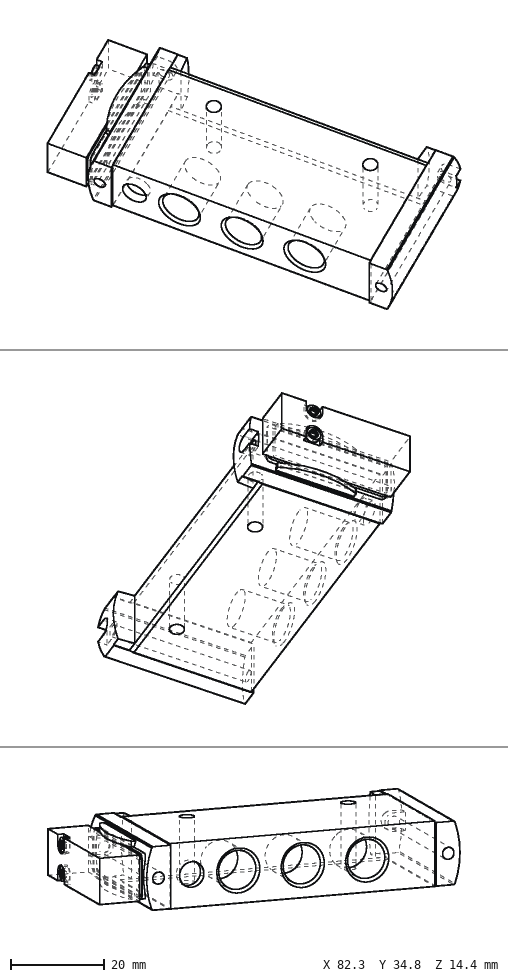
import cadquery as cq

total_length = 82.25
cap_width = 34.8

cap_thickness = 5.5
cap_height = 14.0
cap_crown = 1.4
cap_side_crown = 1.15
cap_bevel = 0.25
cap_hole_dia = 2.6
cap_hole_inset = 2.7
screw_seat_width = 4.1
screw_seat_depth = 2.2
left_cap_x = 10.3

lug_reach_tip = 2.05
lug_reach_root = 2.55
lug_height = 13.65

body_height = 14.4
body_front_y = 0.65
body_back_y = 29.85
body_x0 = left_cap_x + cap_thickness
body_x1 = total_length - cap_thickness
back_bevel_width = 1.0
back_bevel_drop = 0.3

port_dia = 8.55
port_mouth_dia = 9.9
port_mouth_depth = 0.65
port_depth = 11.5
port_pitch = 14.8
middle_port_x = 46.4
pilot_port_x = 20.9
pilot_dia = 5.6
pilot_depth = 2.05
pilot_tip_depth = 1.65

mount_dia = 3.2
mount_pitch = 37.0
mount_middle_x = 47.3
mount_y = 24.0

block_length = 9.2
block_y0 = 1.4
block_y1 = 32.2
block_height = 10.2
inner_neck_x = 9.95
neck_y0 = 2.1
neck_y1 = 29.3
neck_height = 8.7
neck_round = 0.8
collar_y0 = 1.8
collar_y1 = 30.6
collar_height = 10.0
collar_round = 1.2

lip_y0 = 9.1
lip_y1 = 28.0
lip_tip_x = 8.3
lip_end_x = 10.3
lip_height = 12.75

screw_y = 24.35
screw_z = 3.2
recess_dia = 3.9
recess_depth = 1.3
screw_head_dia = 3.2
screw_head_height = 1.1
socket_size = 1.3
socket_mouth_dia = 2.0
socket_mouth_depth = 0.25
socket_depth = 0.65

overlap = 0.8


def box(x0, x1, y0, y1, height):
    """Box between the given X and Y limits, centred on Z = 0."""
    return cq.Workplane("XY").box(x1 - x0, y1 - y0, height).translate(((x0 + x1) / 2, (y0 + y1) / 2, 0))


def cylinder_y(x, y, dia, length):
    """Cylinder that starts at y and runs towards +Y on the mid-plane."""
    return cq.Workplane("XZ", origin=(x, y, 0)).circle(dia / 2).extrude(-length)


def cone_y(x, y, dia, end_dia, length):
    """Cone or frustum that starts at y and narrows towards +Y."""
    solid = cq.Solid.makeCone(dia / 2, end_dia / 2, length, cq.Vector(x, y, 0), cq.Vector(0, 1, 0))
    return cq.Workplane(obj=solid)


def crowned_back(x0, x1, height):
    """Bar along X whose +Y face bulges to the full cap width."""
    edge_y = cap_width - cap_side_crown
    half_height = cap_height / 2
    bar = (
        cq.Workplane("YZ", origin=(x0, 0, 0))
        .moveTo(0, -half_height)
        .lineTo(edge_y, -half_height)
        .threePointArc((cap_width, 0), (edge_y, half_height))
        .lineTo(0, half_height)
        .close()
        .extrude(x1 - x0)
    )
    return bar.intersect(box(x0, x1, 0, cap_width, height))


def end_cap(tip_x, inward):
    """Cap with its crown at tip_x; inward is the X direction (+1 or -1) towards the body."""
    half_height = cap_height / 2
    shoulder_x = tip_x + inward * cap_crown
    inner_x = tip_x + inward * cap_thickness
    crown_edge_x = shoulder_x - inward * cap_bevel
    crown_edge_z = half_height - cap_bevel
    cap = (
        cq.Workplane("XZ")
        .moveTo(inner_x, -half_height)
        .lineTo(shoulder_x, -half_height)
        .lineTo(crown_edge_x, -crown_edge_z)
        .threePointArc((tip_x, 0), (crown_edge_x, crown_edge_z))
        .lineTo(shoulder_x, half_height)
        .lineTo(inner_x, half_height)
        .close()
        .extrude(-cap_width)
    )
    cap = cap.intersect(crowned_back(min(tip_x, inner_x), max(tip_x, inner_x), cap_height))

    lug_outline = (
        cq.Workplane("XY", origin=(0, 0, -lug_height / 2))
        .moveTo(inner_x - inward * overlap, body_back_y - overlap)
        .lineTo(inner_x + inward * lug_reach_root, body_back_y - overlap)
        .lineTo(inner_x + inward * lug_reach_tip, cap_width)
        .lineTo(inner_x - inward * overlap, cap_width)
        .close()
        .extrude(lug_height)
    )
    lug_end_x = inner_x + inward * lug_reach_root
    root_x = inner_x - inward * overlap
    lug = lug_outline.intersect(crowned_back(min(root_x, lug_end_x), max(root_x, lug_end_x), lug_height))

    hole_x = tip_x + inward * cap_hole_inset
    seat_y = cap_width - screw_seat_depth
    seat = cylinder_y(hole_x, seat_y, screw_seat_width, screw_seat_depth).union(
        box(min(hole_x, tip_x), max(hole_x, tip_x), seat_y, cap_width, screw_seat_width)
    )
    return cap.union(lug).cut(cylinder_y(hole_x, 0, cap_hole_dia, cap_width)).cut(seat)


def valve_body():
    half_height = body_height / 2
    bevel_y = body_back_y - back_bevel_width
    bevel_z = half_height - back_bevel_drop
    body = (
        cq.Workplane("YZ", origin=(body_x0, 0, 0))
        .polyline([
            (body_front_y, -half_height),
            (bevel_y, -half_height),
            (body_back_y, -bevel_z),
            (body_back_y, bevel_z),
            (bevel_y, half_height),
            (body_front_y, half_height),
        ])
        .close()
        .extrude(body_x1 - body_x0)
    )
    for step in (-1, 0, 1):
        x = middle_port_x + step * port_pitch
        body = body.cut(cylinder_y(x, body_front_y, port_dia, port_depth))
        body = body.cut(cone_y(x, body_front_y, port_mouth_dia, port_dia, port_mouth_depth))

    body = body.cut(cylinder_y(pilot_port_x, body_front_y, pilot_dia, pilot_depth))
    body = body.cut(cone_y(pilot_port_x, body_front_y + pilot_depth, pilot_dia, 0, pilot_tip_depth))

    for side in (-1, 1):
        x = mount_middle_x + side * mount_pitch / 2
        hole = cq.Workplane("XY", origin=(x, mount_y, -half_height)).circle(mount_dia / 2).extrude(body_height)
        body = body.cut(hole)
    return body


def solenoid_block():
    block = box(0, block_length, block_y0, block_y1, block_height)
    for side in (-1, 1):
        z = side * screw_z
        face = cq.Workplane("YZ", origin=(0, screw_y, z))
        runout = block_height / 2 - screw_z
        recess = face.circle(recess_dia / 2).extrude(recess_depth).union(
            face.center(0, side * runout / 2).rect(recess_dia, runout).extrude(recess_depth)
        )
        head_x = recess_depth - screw_head_height
        head_plane = cq.Workplane("YZ", origin=(head_x, screw_y, z))
        head = head_plane.circle(screw_head_dia / 2).extrude(screw_head_height + overlap)
        socket = head_plane.rect(socket_size, socket_size).extrude(socket_depth)
        socket_mouth = head_plane.circle(socket_mouth_dia / 2).extrude(socket_mouth_depth)
        block = block.cut(recess).union(head).cut(socket_mouth).cut(socket)
    return block


def neck():
    """Stepped, round-edged link between the solenoid block and the left cap."""
    cap_inside_x = left_cap_x + cap_crown
    stem = box(block_length - overlap, cap_inside_x, neck_y0, neck_y1, neck_height)
    collar = box(inner_neck_x, cap_inside_x, collar_y0, collar_y1, collar_height)
    return stem.edges("|X").fillet(neck_round).union(collar.edges("|X").fillet(collar_round))


def lips():
    """Bow-fronted plate; the block fills its middle, so only the two lips stand out."""
    cap_inside_x = left_cap_x + cap_crown
    plate = (
        cq.Workplane("XY", origin=(0, 0, -lip_height / 2))
        .moveTo(cap_inside_x, lip_y0)
        .lineTo(lip_end_x, lip_y0)
        .threePointArc((lip_tip_x, (lip_y0 + lip_y1) / 2), (lip_end_x, lip_y1))
        .lineTo(cap_inside_x, lip_y1)
        .close()
        .extrude(lip_height)
    )
    gap = box(0, cap_inside_x, lip_y0, lip_y1, block_height)
    return plate.cut(gap)


result = (
    valve_body()
    .union(end_cap(left_cap_x, 1))
    .union(end_cap(total_length, -1))
    .union(neck())
    .union(lips())
    .union(solenoid_block())
)